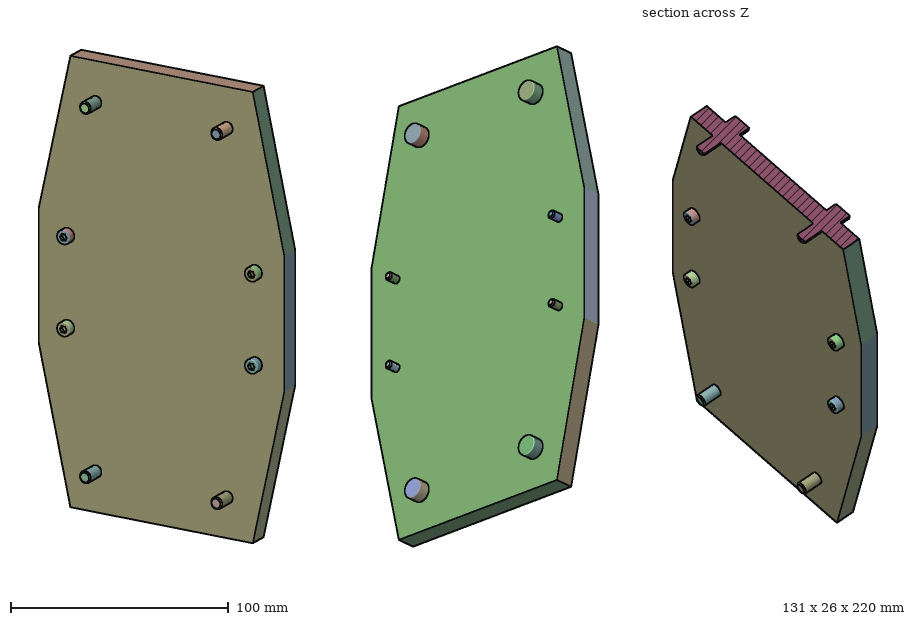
import cadquery as cq
import math

plate_height = 220.0
plate_width = 131.0
end_edge_width = 97.2
side_edge_height = 66.0
plate_thickness = 10.0

overall_depth = 26.0

large_spacing_x = 70.0
large_spacing_z = 180.0
large_head_diameter = 10.0
large_head_height = 6.0
large_shank_diameter = 6.0
large_tip_length = overall_depth - plate_thickness - large_head_height

small_spacing_x = 100.0
small_spacing_z = 44.9
small_head_diameter = 7.0
small_head_height = 4.0
small_shank_diameter = 4.0
small_tip_length = large_head_height

socket_across_flats = 3.0
socket_depth = 2.0

head_edge_radius = 0.5
tip_chamfer = 0.7

back_face_y = plate_thickness / 2
front_face_y = -plate_thickness / 2


def make_plate():
    half_width = plate_width / 2
    half_height = plate_height / 2
    half_end = end_edge_width / 2
    half_side = side_edge_height / 2
    outline = [
        (half_end, half_height),
        (half_width, half_side),
        (half_width, -half_side),
        (half_end, -half_height),
        (-half_end, -half_height),
        (-half_width, -half_side),
        (-half_width, half_side),
        (-half_end, half_height),
    ]
    return cq.Workplane("XZ").polyline(outline).close().extrude(plate_thickness / 2, both=True)


def make_stub(face_y, direction, diameter, length):
    """Cylinder standing on a plate face; direction is +1 for +Y and -1 for -Y."""
    return (
        cq.Workplane("XZ", origin=(0, face_y, 0))
        .circle(diameter / 2)
        .extrude(-direction * length)
    )


def make_head(face_y, direction, diameter, height):
    outer_edge = ">Y" if direction > 0 else "<Y"
    return make_stub(face_y, direction, diameter, height).faces(outer_edge).edges().fillet(head_edge_radius)


def make_tip(face_y, direction, diameter, length):
    outer_edge = ">Y" if direction > 0 else "<Y"
    return make_stub(face_y, direction, diameter, length).faces(outer_edge).edges().chamfer(tip_chamfer)


def make_small_head():
    across_corners = socket_across_flats / math.cos(math.pi / 6)
    socket = (
        cq.Workplane("XZ", origin=(0, front_face_y - small_head_height, 0))
        .polygon(6, across_corners)
        .extrude(-socket_depth)
    )
    return make_head(front_face_y, -1, small_head_diameter, small_head_height).cut(socket)


def add_at_corners(body, feature, spacing_x, spacing_z):
    """Join a copy of the feature at each corner of a centred rectangle."""
    for side_x in (-1, 1):
        for side_z in (-1, 1):
            offset = (side_x * spacing_x / 2, 0, side_z * spacing_z / 2)
            body = body.union(feature.translate(offset))
    return body


large_head = make_head(back_face_y, 1, large_head_diameter, large_head_height)
large_tip = make_tip(front_face_y, -1, large_shank_diameter, large_tip_length)
small_head = make_small_head()
small_tip = make_tip(back_face_y, 1, small_shank_diameter, small_tip_length)

result = make_plate()
for feature in (large_head, large_tip):
    result = add_at_corners(result, feature, large_spacing_x, large_spacing_z)
for feature in (small_head, small_tip):
    result = add_at_corners(result, feature, small_spacing_x, small_spacing_z)